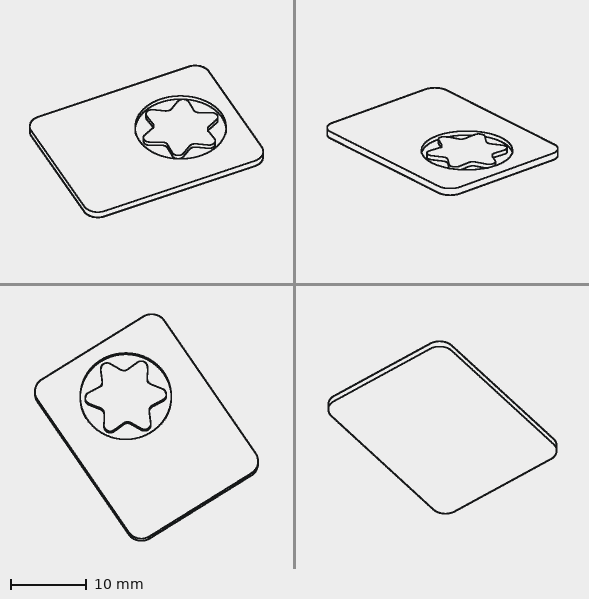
import cadquery as cq
import math

plate_width = 20.0
plate_length = 26.0
plate_thickness = 1.0
corner_radius = 2.0

recess_diameter = 12.0
recess_center_y = 5.0
recess_depth = 0.6

lobe_count = 6
star_tip_radius = 5.35
star_valley_radius = 3.55
tip_rounding = 0.83
valley_rounding = 0.83


def polar(radius, angle):
    return (radius * math.cos(angle), radius * math.sin(angle))


def star_outline():
    """Closed star: rounded lobes and valleys joined by straight tangent flanks."""
    half_pitch = math.pi / lobe_count
    tip_center_radius = star_tip_radius - tip_rounding
    valley_center_radius = star_valley_radius + valley_rounding

    tip_x, tip_y = polar(tip_center_radius, 0)
    valley_x, valley_y = polar(valley_center_radius, half_pitch)
    center_distance = math.hypot(valley_x - tip_x, valley_y - tip_y)
    center_direction = math.atan2(valley_y - tip_y, valley_x - tip_x)
    normal_angle = center_direction - math.acos((tip_rounding + valley_rounding) / center_distance)
    normal_x, normal_y = polar(1, normal_angle)

    flank_top_x = tip_x + tip_rounding * normal_x
    flank_top_y = tip_y + tip_rounding * normal_y
    flank_foot_x = valley_x - valley_rounding * normal_x
    flank_foot_y = valley_y - valley_rounding * normal_y
    flank_top_radius = math.hypot(flank_top_x, flank_top_y)
    flank_top_angle = math.atan2(flank_top_y, flank_top_x)
    flank_foot_radius = math.hypot(flank_foot_x, flank_foot_y)
    flank_foot_angle = math.atan2(flank_foot_y, flank_foot_x)

    first_axis = math.pi / 2
    outline = cq.Workplane("XY").moveTo(*polar(flank_top_radius, first_axis - flank_top_angle))
    for lobe in range(lobe_count):
        axis = first_axis + lobe * 2 * half_pitch
        valley_axis = axis + half_pitch
        next_axis = axis + 2 * half_pitch
        outline = (
            outline
            .threePointArc(polar(star_tip_radius, axis), polar(flank_top_radius, axis + flank_top_angle))
            .lineTo(*polar(flank_foot_radius, axis + flank_foot_angle))
            .threePointArc(
                polar(star_valley_radius, valley_axis),
                polar(flank_foot_radius, next_axis - flank_foot_angle),
            )
            .lineTo(*polar(flank_top_radius, next_axis - flank_top_angle))
        )
    return outline.close()


def rounded_plate():
    plate = cq.Workplane("XY").box(
        plate_width, plate_length, plate_thickness, centered=(True, True, False)
    )
    return plate.edges("|Z").fillet(corner_radius)


def recess_around_star():
    """Material removed between the recess wall and the star."""
    disc = cq.Workplane("XY").circle(recess_diameter / 2).extrude(recess_depth)
    star = star_outline().extrude(recess_depth)
    recess_floor = plate_thickness - recess_depth
    return disc.cut(star).translate((0, recess_center_y, recess_floor))


result = rounded_plate().cut(recess_around_star())